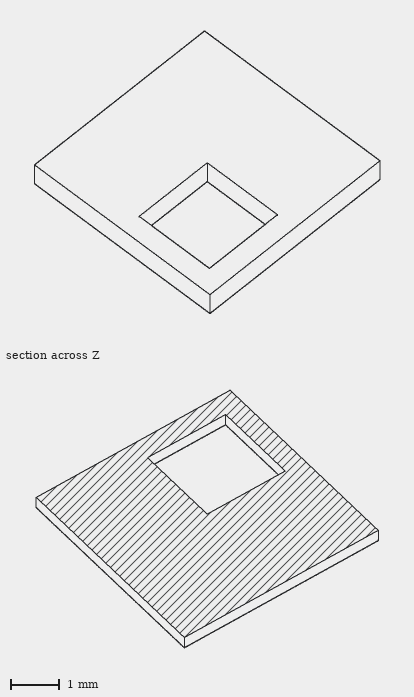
import cadquery as cq

plate_side = 5.0
plate_thickness = 0.6

window_side = 2.0
window_offset = window_side / 2

plate = cq.Workplane("XY").box(plate_side, plate_side, plate_thickness)

window = (
    cq.Workplane("XY")
    .center(window_offset, -window_offset)
    .box(window_side, window_side, plate_thickness)
)

result = plate.cut(window)